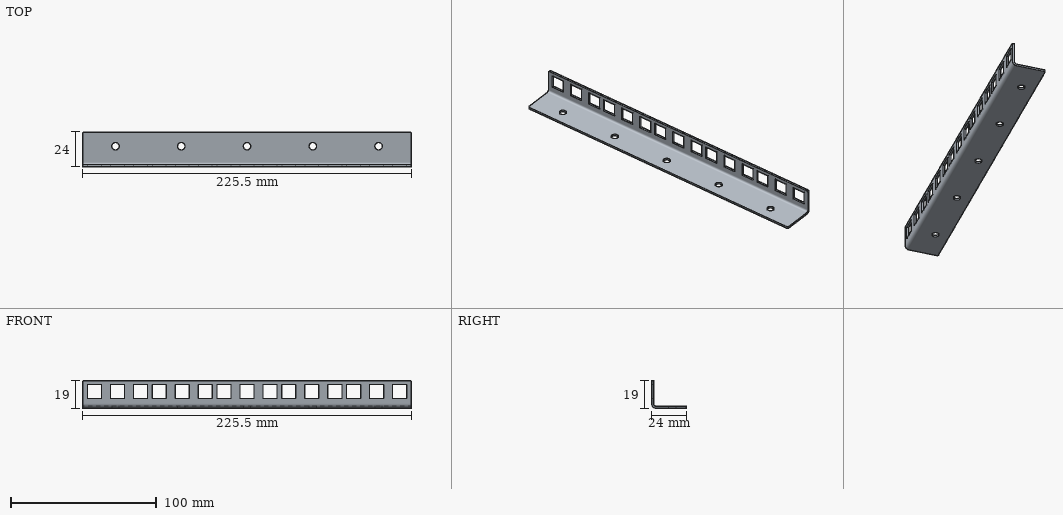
import cadquery as cq

length = 225.5
depth = 24.0
height = 19.0

thickness = 1.5
inner_bend_radius = 1.5
outer_bend_radius = inner_bend_radius + thickness
corner_radius = 1.01

rack_units = 5
rack_unit_pitch = 44.5
hole_offset = 15.8
square_side = 9.5
square_center_below_top = 7.5
square_center_z = height - square_center_below_top

mount_count = 5
mount_pitch = length / mount_count
mount_diameter = 5.0
mount_center_from_back = 9.7
mount_center_y = depth - mount_center_from_back


def centered_positions(count, pitch):
    """Evenly spaced positions, symmetric about zero."""
    return [(i - (count - 1) / 2) * pitch for i in range(count)]


def angle_body():
    """L section with a rounded fold, run along X and centered on X = 0."""
    section = (
        cq.Workplane("YZ")
        .polyline([
            (0, 0),
            (depth, 0),
            (depth, thickness),
            (thickness, thickness),
            (thickness, height),
            (0, height),
        ])
        .close()
    )
    body = section.extrude(length / 2, both=True)
    inner_edge = cq.selectors.NearestToPointSelector((0, thickness, thickness))
    body = body.edges(inner_edge).fillet(inner_bend_radius)
    outer_edge = cq.selectors.NearestToPointSelector((0, 0, 0))
    return body.edges(outer_edge).fillet(outer_bend_radius)


def round_free_corners(body):
    """Round the two free corners of each flange."""
    body = body.faces(">Z").edges("|Y").fillet(corner_radius)
    return body.faces(">Y").edges("|Z").fillet(corner_radius)


def rack_holes():
    """Square cutters through the upright flange."""
    centers = [
        (unit_x + offset, square_center_z)
        for unit_x in centered_positions(rack_units, rack_unit_pitch)
        for offset in (-hole_offset, 0, hole_offset)
    ]
    return (
        cq.Workplane("XZ")
        .pushPoints(centers)
        .rect(square_side, square_side)
        .extrude(-thickness)
    )


def mounting_holes():
    """Round cutters through the base flange."""
    centers = [(x, mount_center_y) for x in centered_positions(mount_count, mount_pitch)]
    return (
        cq.Workplane("XY")
        .pushPoints(centers)
        .circle(mount_diameter / 2)
        .extrude(thickness)
    )


result = round_free_corners(angle_body()).cut(rack_holes()).cut(mounting_holes())